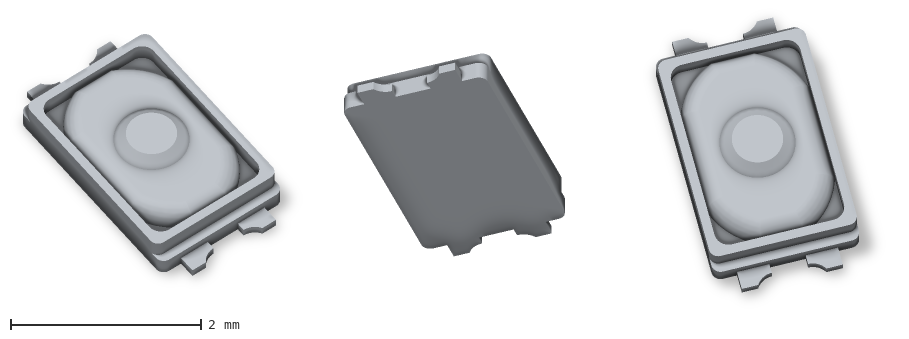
import cadquery as cq
import math

base_length = 2.5
body_width = 1.6
base_height = 0.2
rim_length = 2.303
rim_top = 0.4
outer_corner_radius = 0.1

wall = 0.1
pocket_length = rim_length - 2 * wall
pocket_width = body_width - 2 * wall
pocket_floor = 0.195
pocket_corner_radius = 0.15

dome_top = 0.395
dome_height = dome_top - pocket_floor
edge_land = 0.0005
dome_edge_radius = dome_height - edge_land
dome_long_side = 1.073
dome_short_side = 0.475
dome_corner_arc_radius = 0.87
trim_overlap = 0.087

button_top = 0.5
button_base_radius = 0.4
button_top_radius = 0.27

overall_length = 2.9
lead_thickness = 0.1
lead_length = (overall_length - base_length) / 2
lead_inner_y = 0.197
lead_outer_y = 0.548
bite_radius = 0.2
bite_depth = 0.1


def rounded_block(length, width, bottom, top, radius):
    """Block between two heights with rounded vertical edges."""
    block = cq.Workplane("XY").workplane(offset=bottom).rect(length, width).extrude(top - bottom)
    return block.edges("|Z").fillet(radius)


def make_housing():
    base = rounded_block(base_length, body_width, 0, base_height, outer_corner_radius)
    rim = rounded_block(rim_length, body_width, 0, rim_top, outer_corner_radius)
    pocket = rounded_block(pocket_length, pocket_width, pocket_floor, rim_top, pocket_corner_radius)
    return base.union(rim).cut(pocket)


def corner_arc_center():
    """Center of the arc that bows outward between the +X and +Y straight sides."""
    start_x, start_y = pocket_length / 2, dome_short_side / 2
    end_x, end_y = dome_long_side / 2, pocket_width / 2
    run = start_x - end_x
    rise = end_y - start_y
    chord = math.hypot(run, rise)
    center_distance = math.sqrt(dome_corner_arc_radius**2 - (chord / 2) ** 2)
    center_x = (start_x + end_x) / 2 - center_distance * rise / chord
    center_y = (start_y + end_y) / 2 - center_distance * run / chord
    return center_x, center_y


def make_corner_trim(x_side, y_side):
    """Material outside one bowed corner; its inner surface follows the rounded edge."""
    center_x, center_y = corner_arc_center()
    inner_x = dome_long_side / 2 - trim_overlap
    inner_y = dome_short_side / 2 - trim_overlap
    floor_plane = cq.Workplane("XY").workplane(offset=pocket_floor)
    block = (
        floor_plane
        .moveTo(x_side * inner_x, y_side * inner_y)
        .lineTo(x_side * pocket_length, y_side * inner_y)
        .lineTo(x_side * pocket_length, y_side * pocket_width)
        .lineTo(x_side * inner_x, y_side * pocket_width)
        .close()
        .extrude(dome_height)
    )
    disc = (
        floor_plane
        .center(x_side * center_x, y_side * center_y)
        .circle(dome_corner_arc_radius)
        .extrude(dome_height)
        .faces(">Z").edges().fillet(dome_edge_radius)
    )
    return block.cut(disc)


def make_dome():
    dome = (
        cq.Workplane("XY")
        .workplane(offset=pocket_floor)
        .rect(pocket_length, pocket_width)
        .extrude(dome_height)
        .faces(">Z").edges().fillet(dome_edge_radius)
    )
    for x_side in (-1, 1):
        for y_side in (-1, 1):
            dome = dome.cut(make_corner_trim(x_side, y_side))
    return dome


def make_button():
    return (
        cq.Workplane("XY")
        .workplane(offset=dome_top)
        .circle(button_base_radius)
        .workplane(offset=button_top - dome_top)
        .circle(button_top_radius)
        .loft()
    )


def make_lead(x_side, y_side):
    """One lead; x_side and y_side are +1 or -1 and pick its corner of the housing."""
    lead_x = base_length / 2 + lead_length / 2
    lead_y = (lead_inner_y + lead_outer_y) / 2
    bite_x = overall_length / 2 - bite_depth + bite_radius
    tab = (
        cq.Workplane("XY")
        .center(x_side * lead_x, y_side * lead_y)
        .rect(lead_length, lead_outer_y - lead_inner_y)
        .extrude(lead_thickness)
    )
    bite = (
        cq.Workplane("XY")
        .center(x_side * bite_x, y_side * lead_inner_y)
        .circle(bite_radius)
        .extrude(lead_thickness)
    )
    return tab.cut(bite)


housing = make_housing()
dome = make_dome()
button = make_button()
leads = [make_lead(x_side, y_side).val() for x_side in (-1, 1) for y_side in (-1, 1)]

result = cq.Compound.makeCompound([housing.val(), dome.val(), button.val(), *leads])